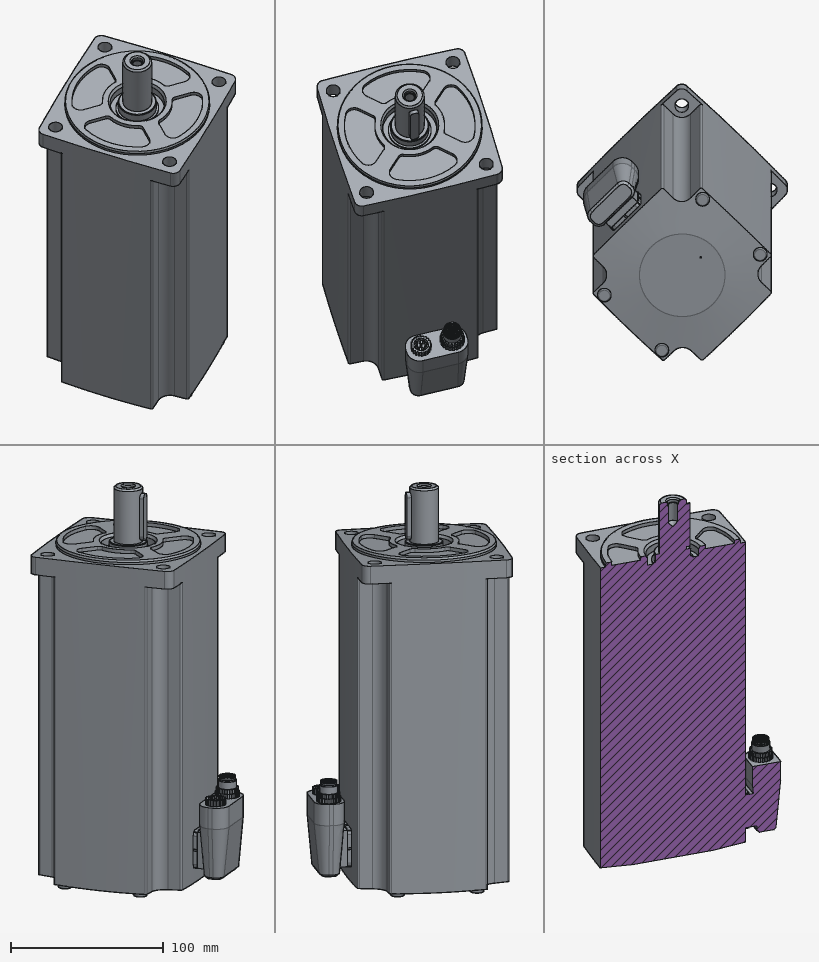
import cadquery as cq
import math


SIDE_CROWN = 50.91
SIDE_END = 50.0
FLANGE_CORNER_R = 5.0
FLANGE_THICKNESS = 12.0
LOWEST_Z = -224.72
NUB_HEIGHT = 0.6
BOTTOM_Z = LOWEST_Z + NUB_HEIGHT
BOLT_CIRCLE_D = 115.0
BOLT_HOLE_D = 9.0
BOLT_OFFSET = BOLT_CIRCLE_D / 2 / math.sqrt(2)
NOTCH_R = 8.0
NOTCH_WALL = BOLT_OFFSET - NOTCH_R
NOTCH_EDGE_R = 1.2

BOTTOM_FLAT_R = 28.0
BOTTOM_CONE_SLOPE = 0.08
FOOT_D = 9.0
FOOT_X = 45.7
FOOT_Y = 26.5
FOOT_HEIGHT = 3.8
FOOT_EDGE_R = 0.8
NUB_D = 0.8
NUB_X = -17.2

PILOT_D = 95.0
PILOT_HEIGHT = 3.0
PILOT_CHAMFER = 0.6
PILOT_CHAMFER_HEIGHT = 1.5
POCKET_OUTER_R = 42.8
POCKET_INNER_R = 22.9
POCKET_DEPTH = 2.5
POCKET_OUTER_CORNER_R = 5.7
POCKET_INNER_CORNER_R = 3.0
POCKET_RIB_WIDTH = 11.0
RECESS_D = 38.0
RECESS_WALL_D = 35.6
RECESS_CONE_DEPTH = 2.0
RECESS_DEPTH = 7.0
SEAL_D = 28.0
SEAL_HEIGHT = 1.0
COLLAR_D = 25.0
COLLAR_HEIGHT = 6.7
COLLAR_CHAMFER = 0.5

SHAFT_D = 19.0
SHAFT_TOP_Z = 40.0
SHAFT_END_D = 16.5
SHAFT_CHAMFER_HEIGHT = 1.2
CENTRE_MOUTH_D = 9.5
CENTRE_THROAT_D = 7.6
CENTRE_THROAT_DEPTH = 3.0
CENTRE_BORE_D = 6.0
CENTRE_BORE_DEPTH = 16.0
KEY_WIDTH = 6.0
KEY_HEIGHT = 6.0
KEY_LENGTH = 32.0
KEY_BOTTOM_Z = 4.0
KEY_TOP_Y = 12.0

OVERALL_DEPTH = 126.5
HOUSING_BACK_Y = OVERALL_DEPTH - SIDE_CROWN
HOUSING_WIDTH = 41.2
HOUSING_DEPTH = 20.0
HOUSING_CORNER_R = 8.6
HOUSING_TOP_Z = -167.0
HOUSING_TAPER_Z = -181.3
HOUSING_BASE_Z = -216.8
HOUSING_BASE_WIDTH = 36.0
HOUSING_BASE_DEPTH = 13.2
HOUSING_BASE_CORNER_R = 5.3
HOUSING_BASE_CHAMFER = 1.6
HOUSING_Y = HOUSING_BACK_Y - HOUSING_DEPTH / 2
NECK_SIZE = 24.6
NECK_Z = -199.4
PLATE_SIZE = 26.2
PLATE_CORNER_R = 3.5
PLATE_OUTER_Y = 53.4
PLATE_NOTCH_WIDTH = 1.2
PLATE_NOTCH_DEPTH = 0.6

PLUG_X = 10.6
KNURL_GROOVES = 20
KNURL_GROOVE_D = 1.25
SOCKET_DEPTH = 3.0
LARGE_KNURL_D = 16.0
LARGE_KNURL_MID_Z = -164.0
UPPER_KNURL_D = 14.77
LARGE_KNURL_TOP_Z = -161.1
BARREL_D = 12.0
BARREL_TOP_Z = -156.3
TIP_D = 10.77
TIP_TOP_Z = -153.3
TIP_GROOVE_DEPTH = 0.4
TIP_GROOVE_HEIGHT = 1.2
LARGE_BORE_D = 9.0
LARGE_PIN_D = 0.8
LARGE_PIN_RINGS = ((12, 6.6), (6, 3.4))
SMALL_KNURL_D = 13.4
SMALL_PLUG_HEIGHT = 4.0
SMALL_BORE_D = 9.5
SMALL_PIN_D = 1.25
SMALL_PIN_RINGS = ((8, 6.4),)


def cylinder(diameter, z_low, z_high, x=0.0, y=0.0):
    """Upright cylinder between two heights."""
    return cq.Workplane("XY", origin=(x, y, z_low)).circle(diameter / 2).extrude(z_high - z_low)


def bulged_prism(z_low, z_high):
    """Square prism with four slightly convex sides."""
    c = SIDE_END
    m = SIDE_CROWN
    outline = (
        cq.Workplane("XY", origin=(0, 0, z_low))
        .moveTo(-c, -c)
        .threePointArc((0, -m), (c, -c))
        .threePointArc((m, 0), (c, c))
        .threePointArc((0, m), (-c, c))
        .threePointArc((-m, 0), (-c, -c))
        .close()
    )
    return outline.extrude(z_high - z_low)


def make_flange():
    """Mounting flange with rounded corners."""
    return bulged_prism(-FLANGE_THICKNESS, 0).edges("|Z").fillet(FLANGE_CORNER_R)


def is_notch_mouth(edge):
    """True for an upright edge where a notch wall meets an outer side."""
    centre = edge.Center()
    return max(abs(centre.x), abs(centre.y)) > BOLT_OFFSET + NOTCH_R


def make_body():
    """Motor body with a rounded screw notch along each corner and a shallow conical bottom."""
    body = bulged_prism(BOTTOM_Z, -FLANGE_THICKNESS)
    notch_size = 2 * (SIDE_CROWN - NOTCH_WALL)
    height = -FLANGE_THICKNESS - BOTTOM_Z
    for sx in (-1, 1):
        for sy in (-1, 1):
            notch = (
                cq.Workplane("XY", origin=(sx * SIDE_CROWN, sy * SIDE_CROWN, BOTTOM_Z))
                .rect(notch_size, notch_size)
                .extrude(height)
                .edges("|Z")
                .fillet(NOTCH_R)
            )
            body = body.cut(notch)

    body = body.edges("|Z").filter(is_notch_mouth).fillet(NOTCH_EDGE_R)

    corner_r = SIDE_CROWN * math.sqrt(2)
    cone_rise = (corner_r - BOTTOM_FLAT_R) * BOTTOM_CONE_SLOPE
    outside_cone = (
        cq.Workplane("XZ")
        .moveTo(BOTTOM_FLAT_R, BOTTOM_Z)
        .lineTo(corner_r, BOTTOM_Z)
        .lineTo(corner_r, BOTTOM_Z + cone_rise)
        .close()
        .revolve(360, (0, 0, 0), (0, 1, 0))
    )
    return body.cut(outside_cone)


def make_feet():
    """Four round feet under the body."""
    foot_points = [(sx * FOOT_X, sy * FOOT_Y) for sx in (-1, 1) for sy in (-1, 1)]
    return (
        cq.Workplane("XY", origin=(0, 0, BOTTOM_Z))
        .pushPoints(foot_points)
        .circle(FOOT_D / 2)
        .extrude(FOOT_HEIGHT)
        .faces("<Z")
        .edges()
        .fillet(FOOT_EDGE_R)
    )


def make_nub():
    """Tiny nub under the bottom face."""
    return cylinder(NUB_D, LOWEST_Z, BOTTOM_Z, NUB_X)


def make_pilot():
    """Centring pilot with a steep chamfer around its top."""
    r = PILOT_D / 2
    return (
        cq.Workplane("XZ")
        .moveTo(0, 0)
        .lineTo(r, 0)
        .lineTo(r, PILOT_HEIGHT - PILOT_CHAMFER_HEIGHT)
        .lineTo(r - PILOT_CHAMFER, PILOT_HEIGHT)
        .lineTo(0, PILOT_HEIGHT)
        .close()
        .revolve(360, (0, 0, 0), (0, 1, 0))
    )


def axis_distance(edge):
    """Distance of an upright edge from the motor axis."""
    return math.hypot(edge.Center().x, edge.Center().y)


def make_pockets():
    """Four shallow pockets between diagonal ribs in the pilot face."""
    floor = PILOT_HEIGHT - POCKET_DEPTH
    ring = cylinder(2 * POCKET_OUTER_R, floor, PILOT_HEIGHT)
    ring = ring.cut(cylinder(2 * POCKET_INNER_R, floor, PILOT_HEIGHT))
    for angle in (45, 135):
        rib = (
            cq.Workplane("XY", origin=(0, 0, floor))
            .rect(PILOT_D, POCKET_RIB_WIDTH)
            .extrude(POCKET_DEPTH)
            .rotate((0, 0, 0), (0, 0, 1), angle)
        )
        ring = ring.cut(rib)
    middle_r = (POCKET_OUTER_R + POCKET_INNER_R) / 2
    ring = ring.edges("|Z").filter(lambda edge: axis_distance(edge) < middle_r)
    ring = ring.fillet(POCKET_INNER_CORNER_R)
    ring = ring.edges("|Z").filter(lambda edge: axis_distance(edge) > middle_r)
    return ring.fillet(POCKET_OUTER_CORNER_R)


def make_recess():
    """Conical-mouthed recess around the shaft, leaving a seal ring and a shaft collar standing."""
    floor = PILOT_HEIGHT - RECESS_DEPTH
    recess = (
        cq.Workplane("XZ")
        .moveTo(0, floor)
        .lineTo(RECESS_WALL_D / 2, floor)
        .lineTo(RECESS_WALL_D / 2, PILOT_HEIGHT - RECESS_CONE_DEPTH)
        .lineTo(RECESS_D / 2, PILOT_HEIGHT)
        .lineTo(0, PILOT_HEIGHT)
        .close()
        .revolve(360, (0, 0, 0), (0, 1, 0))
    )
    collar = cylinder(COLLAR_D, floor, floor + COLLAR_HEIGHT).faces(">Z").chamfer(COLLAR_CHAMFER)
    return recess.cut(cylinder(SEAL_D, floor, floor + SEAL_HEIGHT)).cut(collar)


def make_shaft():
    """Keyed shaft with a chamfered end and a countersunk centre bore."""
    r = SHAFT_D / 2
    mouth_depth = (CENTRE_MOUTH_D - CENTRE_THROAT_D) / 2
    shaft = (
        cq.Workplane("XZ")
        .moveTo(0, -FLANGE_THICKNESS)
        .lineTo(r, -FLANGE_THICKNESS)
        .lineTo(r, SHAFT_TOP_Z - SHAFT_CHAMFER_HEIGHT)
        .lineTo(SHAFT_END_D / 2, SHAFT_TOP_Z)
        .lineTo(CENTRE_MOUTH_D / 2, SHAFT_TOP_Z)
        .lineTo(CENTRE_THROAT_D / 2, SHAFT_TOP_Z - mouth_depth)
        .lineTo(CENTRE_THROAT_D / 2, SHAFT_TOP_Z - CENTRE_THROAT_DEPTH)
        .lineTo(CENTRE_BORE_D / 2, SHAFT_TOP_Z - CENTRE_THROAT_DEPTH)
        .lineTo(CENTRE_BORE_D / 2, SHAFT_TOP_Z - CENTRE_BORE_DEPTH)
        .lineTo(0, SHAFT_TOP_Z - CENTRE_BORE_DEPTH - CENTRE_BORE_D / 2)
        .close()
        .revolve(360, (0, 0, 0), (0, 1, 0))
    )
    key = (
        cq.Workplane("XZ", origin=(0, KEY_TOP_Y, KEY_BOTTOM_Z + KEY_LENGTH / 2))
        .slot2D(KEY_LENGTH, KEY_WIDTH, 90)
        .extrude(KEY_HEIGHT)
    )
    return shaft.union(key)


def rounded_section(width, depth, corner_r):
    """Rounded rectangular section of the connector housing."""
    return cq.Sketch().rect(width, depth).vertices().fillet(corner_r)


def make_housing():
    """Connector housing: straight upper part, tapered lower part, neck and base plate."""
    wide = rounded_section(HOUSING_WIDTH, HOUSING_DEPTH, HOUSING_CORNER_R)
    narrow = rounded_section(HOUSING_BASE_WIDTH, HOUSING_BASE_DEPTH, HOUSING_BASE_CORNER_R)
    taper_drop = cq.Location(cq.Vector(0, 0, HOUSING_BASE_Z - HOUSING_TAPER_Z))
    taper_start = cq.Workplane("XY", origin=(0, HOUSING_Y, HOUSING_TAPER_Z))
    upper = taper_start.placeSketch(wide).extrude(HOUSING_TOP_Z - HOUSING_TAPER_Z)
    lower = taper_start.placeSketch(wide, narrow.moved(taper_drop)).loft()
    lower = lower.faces("<Z").chamfer(HOUSING_BASE_CHAMFER)
    neck = (
        cq.Workplane("XZ", origin=(0, HOUSING_Y, NECK_Z))
        .rect(NECK_SIZE, NECK_SIZE)
        .extrude(HOUSING_Y - NOTCH_WALL)
    )
    plate = (
        cq.Workplane("XZ", origin=(0, PLATE_OUTER_Y, NECK_Z))
        .rect(PLATE_SIZE, PLATE_SIZE)
        .extrude(PLATE_OUTER_Y - NOTCH_WALL)
        .edges("|Y")
        .fillet(PLATE_CORNER_R)
    )
    notch_centre = PLATE_SIZE / 2
    notches = (
        cq.Workplane("XZ", origin=(0, PLATE_OUTER_Y, NECK_Z))
        .pushPoints([(0, notch_centre), (0, -notch_centre)])
        .rect(PLATE_NOTCH_WIDTH, 2 * PLATE_NOTCH_DEPTH)
        .pushPoints([(notch_centre, 0), (-notch_centre, 0)])
        .rect(2 * PLATE_NOTCH_DEPTH, PLATE_NOTCH_WIDTH)
        .extrude(PLATE_OUTER_Y - SIDE_CROWN)
    )
    return upper.union(lower).union(neck).union(plate.cut(notches))


def make_pins(x, z_low, z_high, pin_d, rings):
    """Concentric rings of contact pins around one centre pin."""
    pins = cylinder(pin_d, z_low, z_high, x, HOUSING_Y)
    for count, pitch_d in rings:
        ring = (
            cq.Workplane("XY", origin=(x, HOUSING_Y, z_low))
            .polarArray(pitch_d / 2, 0, 360, count)
            .circle(pin_d / 2)
            .extrude(z_high - z_low)
        )
        pins = pins.union(ring)
    return pins


def make_knurl(x, z_low, z_high, diameter):
    """Ring with upright grip grooves around it."""
    grooves = (
        cq.Workplane("XY", origin=(x, HOUSING_Y, z_low))
        .polarArray(diameter / 2, 0, 360, KNURL_GROOVES)
        .circle(KNURL_GROOVE_D / 2)
        .extrude(z_high - z_low)
    )
    return cylinder(diameter, z_low, z_high, x, HOUSING_Y).cut(grooves)


def make_large_plug():
    """Stepped plug with a two-tier knurl, a grooved tip and contact pins."""
    x = -PLUG_X
    plug = make_knurl(x, HOUSING_TOP_Z, LARGE_KNURL_MID_Z, LARGE_KNURL_D)
    plug = plug.union(make_knurl(x, LARGE_KNURL_MID_Z, LARGE_KNURL_TOP_Z, UPPER_KNURL_D))
    plug = plug.union(cylinder(BARREL_D, HOUSING_TOP_Z, BARREL_TOP_Z, x, HOUSING_Y))
    plug = plug.union(cylinder(TIP_D, HOUSING_TOP_Z, TIP_TOP_Z, x, HOUSING_Y))
    groove_low = (BARREL_TOP_Z + TIP_TOP_Z - TIP_GROOVE_HEIGHT) / 2
    groove_high = groove_low + TIP_GROOVE_HEIGHT
    groove = cylinder(TIP_D, groove_low, groove_high, x, HOUSING_Y)
    groove = groove.cut(cylinder(TIP_D - 2 * TIP_GROOVE_DEPTH, groove_low, groove_high, x, HOUSING_Y))
    socket_floor = TIP_TOP_Z - SOCKET_DEPTH
    plug = plug.cut(groove).cut(cylinder(LARGE_BORE_D, socket_floor, TIP_TOP_Z, x, HOUSING_Y))
    return plug.union(make_pins(x, socket_floor, TIP_TOP_Z, LARGE_PIN_D, LARGE_PIN_RINGS))


def make_small_plug():
    """Short knurled plug with contact pins."""
    top = HOUSING_TOP_Z + SMALL_PLUG_HEIGHT
    socket_floor = top - SOCKET_DEPTH
    plug = make_knurl(PLUG_X, HOUSING_TOP_Z, top, SMALL_KNURL_D)
    plug = plug.cut(cylinder(SMALL_BORE_D, socket_floor, top, PLUG_X, HOUSING_Y))
    return plug.union(make_pins(PLUG_X, socket_floor, top, SMALL_PIN_D, SMALL_PIN_RINGS))


def make_bolt_holes():
    """Through holes in the flange corners."""
    return (
        cq.Workplane("XY", origin=(0, 0, -FLANGE_THICKNESS))
        .rect(2 * BOLT_OFFSET, 2 * BOLT_OFFSET, forConstruction=True)
        .vertices()
        .circle(BOLT_HOLE_D / 2)
        .extrude(FLANGE_THICKNESS)
    )


motor = make_body().union(make_flange()).union(make_feet()).union(make_nub()).union(make_pilot())
motor = motor.cut(make_pockets()).cut(make_recess()).cut(make_bolt_holes())
motor = motor.union(make_shaft()).union(make_housing())
result = motor.union(make_large_plug()).union(make_small_plug())